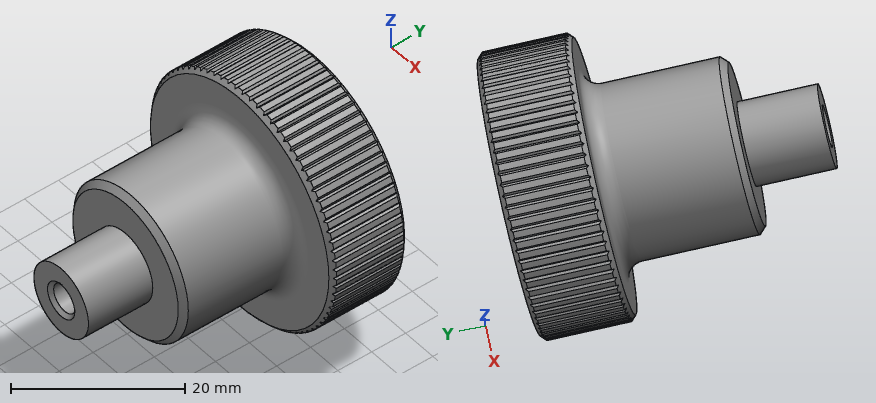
import cadquery as cq
import math

total_length = 37.5

head_diameter = 34.0
head_width = 11.18
head_chamfer = 0.65

groove_count = 80
groove_depth = 0.25
groove_angle = 90.0

neck_diameter = 21.0
neck_end_chamfer = 0.82
neck_fillet = 2.1

bush_diameter = 10.0
bush_length = 9.5

hole_diameter = 3.98
hole_mouth_diameter = 5.0
hole_depth = 7.5
drill_tip_angle = 118.0

neck_end_y = bush_length
head_front_y = total_length - head_width


def revolve_about_y(profile):
    """Turn a closed half profile, drawn in the XY plane, about the Y axis."""
    return profile.close().revolve(360, (0, 0, 0), (0, 1, 0))


def make_blank():
    """Plain knob: chamfered head, fillet and chamfered neck."""
    head_radius = head_diameter / 2
    neck_radius = neck_diameter / 2
    fillet_dip = neck_fillet * (1 - math.sqrt(0.5))
    return revolve_about_y(
        cq.Workplane("XY")
        .moveTo(0, neck_end_y)
        .lineTo(neck_radius - neck_end_chamfer, neck_end_y)
        .lineTo(neck_radius, neck_end_y + neck_end_chamfer)
        .lineTo(neck_radius, head_front_y - neck_fillet)
        .threePointArc(
            (neck_radius + fillet_dip, head_front_y - fillet_dip),
            (neck_radius + neck_fillet, head_front_y),
        )
        .lineTo(head_radius - head_chamfer, head_front_y)
        .lineTo(head_radius, head_front_y + head_chamfer)
        .lineTo(head_radius, total_length - head_chamfer)
        .lineTo(head_radius - head_chamfer, total_length)
        .lineTo(0, total_length)
    )


def make_groove_cutters():
    """One triangular bar per knurl groove, running the full width of the head."""
    root_radius = head_diameter / 2 - groove_depth
    outer_radius = head_diameter / 2 + groove_depth
    half_width = (outer_radius - root_radius) * math.tan(math.radians(groove_angle / 2))
    bar = (
        cq.Workplane("XZ", origin=(0, total_length, 0))
        .polyline([(root_radius, 0), (outer_radius, half_width), (outer_radius, -half_width)])
        .close()
        .extrude(head_width)
        .val()
    )
    pitch_angle = 360 / groove_count
    return [bar.rotate((0, 0, 0), (0, 1, 0), i * pitch_angle) for i in range(groove_count)]


def make_knob():
    """Knob with its knurled head."""
    return make_blank().val().cut(*make_groove_cutters())


def make_bush():
    """Round bush with a blind hole, countersunk at 45 degrees and ending in a drill point."""
    bush_radius = bush_diameter / 2
    hole_radius = hole_diameter / 2
    mouth_radius = hole_mouth_diameter / 2
    mouth_depth = mouth_radius - hole_radius
    tip_length = hole_radius / math.tan(math.radians(drill_tip_angle / 2))
    return revolve_about_y(
        cq.Workplane("XY")
        .moveTo(mouth_radius, 0)
        .lineTo(bush_radius, 0)
        .lineTo(bush_radius, bush_length)
        .lineTo(0, bush_length)
        .lineTo(0, hole_depth + tip_length)
        .lineTo(hole_radius, hole_depth)
        .lineTo(hole_radius, mouth_depth)
    )


knob = make_knob()
bush = make_bush()

result = cq.Compound.makeCompound([*knob.Solids(), bush.val()])